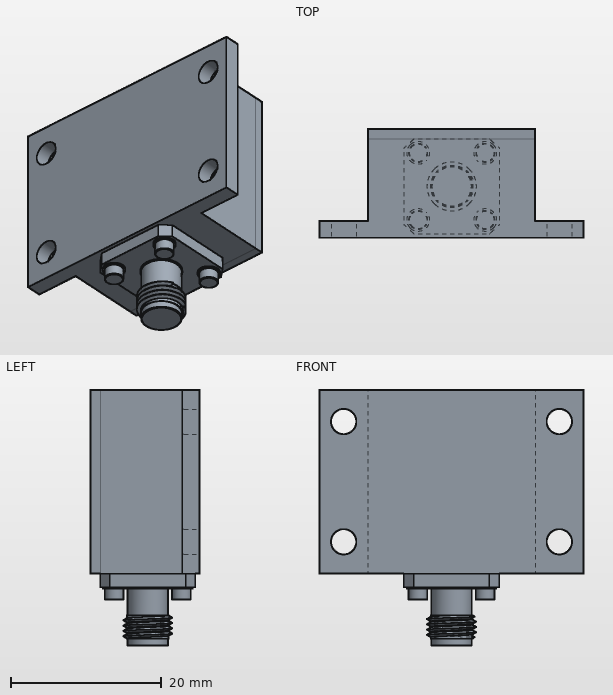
import cadquery as cq

plate_width = 35.05
housing_height = 24.35
plate_thickness = 2.28
box_width = 22.2
housing_depth = 14.48
lid_thickness = 1.33
lid_front = housing_depth - lid_thickness

mount_hole_diameter = 3.33
mount_hole_spacing_x = 28.6
mount_hole_spacing_z = 15.95

connector_y = 6.87
connector_length = 9.6
flange_width = 12.72
flange_depth = 12.62
flange_thickness = 1.82
flange_corner_x = 1.35
flange_corner_y = 1.25
barrel_radius = 2.7
barrel_end_chamfer = 0.1
collar_radius = 2.8
collar_height = 0.18

thread_core_radius = 2.77
thread_crest_radius = 3.25
thread_pitch = 0.7
thread_tooth_width = 0.6
thread_length = 3.12
thread_top = -5.5
thread_bottom = thread_top - thread_length
thread_start_angle = 20.0
thread_start_height = 0.18
thread_turns = 4 - 2 * thread_start_angle / 360
thread_root_overlap = 0.05

screw_spacing = 8.9
washer_radius = 1.5
washer_thickness = 0.18
screw_head_radius = 1.25
screw_head_height = 1.5
screw_head_chamfer = 0.1


def block(width, y_front, y_back):
    """Box of full housing height, centred on x = 0, between two y positions."""
    depth = y_back - y_front
    solid = cq.Workplane("XY").box(width, depth, housing_height, centered=(True, False, False))
    return solid.translate((0, y_front, 0))


def hanging_cylinder(radius, top, height):
    """Cylinder on the vertical z axis, running down from z = top."""
    return cq.Workplane("XY").workplane(offset=top).circle(radius).extrude(-height)


def make_housing():
    plate = block(plate_width, 0, plate_thickness)
    mount_holes = (
        cq.Workplane("XZ")
        .center(0, housing_height / 2)
        .rarray(mount_hole_spacing_x, mount_hole_spacing_z, 2, 2)
        .circle(mount_hole_diameter / 2)
        .extrude(-plate_thickness)
    )
    box = block(box_width, plate_thickness, lid_front)
    lid = block(box_width, lid_front, housing_depth)
    return plate.cut(mount_holes).union(box).union(lid, clean=False)


def make_flange():
    """Rectangle with cut corners."""
    half_x = flange_width / 2
    half_y = flange_depth / 2
    flat_x = half_x - flange_corner_x
    flat_y = half_y - flange_corner_y
    outline = [
        (-flat_x, -half_y),
        (flat_x, -half_y),
        (half_x, -flat_y),
        (half_x, flat_y),
        (flat_x, half_y),
        (-flat_x, half_y),
        (-half_x, flat_y),
        (-half_x, -flat_y),
    ]
    return cq.Workplane("XY").polyline(outline).close().extrude(-flange_thickness)


def make_thread():
    """V-shaped tooth swept up a helix, with both ends trimmed flat to the threaded length."""
    root_radius = thread_core_radius - thread_root_overlap
    tooth_height = thread_crest_radius - thread_core_radius
    half_root = thread_tooth_width / 2 * (1 + thread_root_overlap / tooth_height)
    helix = cq.Wire.makeHelix(thread_pitch, thread_pitch * thread_turns, thread_core_radius)
    tooth = (
        cq.Workplane("XZ")
        .moveTo(root_radius, -half_root)
        .lineTo(thread_crest_radius, 0)
        .lineTo(root_radius, half_root)
        .close()
        .sweep(cq.Workplane(helix), isFrenet=True)
        .rotate((0, 0, 0), (0, 0, 1), thread_start_angle)
        .translate((0, 0, thread_bottom + thread_start_height))
    )
    threaded_zone = hanging_cylinder(2 * thread_crest_radius, thread_top, thread_length)
    return tooth.intersect(threaded_zone)


def make_barrel():
    barrel_length = connector_length - flange_thickness
    barrel = hanging_cylinder(barrel_radius, -flange_thickness, barrel_length)
    barrel = barrel.faces("<Z").chamfer(barrel_end_chamfer)
    collar = hanging_cylinder(collar_radius, -flange_thickness, collar_height)
    core = hanging_cylinder(thread_core_radius, thread_top, thread_length)
    return barrel.union(collar).union(core).union(make_thread())


def make_screw():
    washer = hanging_cylinder(washer_radius, -flange_thickness, washer_thickness)
    head = hanging_cylinder(screw_head_radius, -flange_thickness - washer_thickness, screw_head_height)
    return washer.union(head.faces("<Z").chamfer(screw_head_chamfer))


def make_connector():
    connector = make_flange().union(make_barrel())
    screw = make_screw()
    for side_x in (-1, 1):
        for side_y in (-1, 1):
            place = (side_x * screw_spacing / 2, side_y * screw_spacing / 2, 0)
            connector = connector.union(screw.translate(place))
    return connector.translate((0, connector_y, 0))


result = make_housing().union(make_connector(), clean=False)